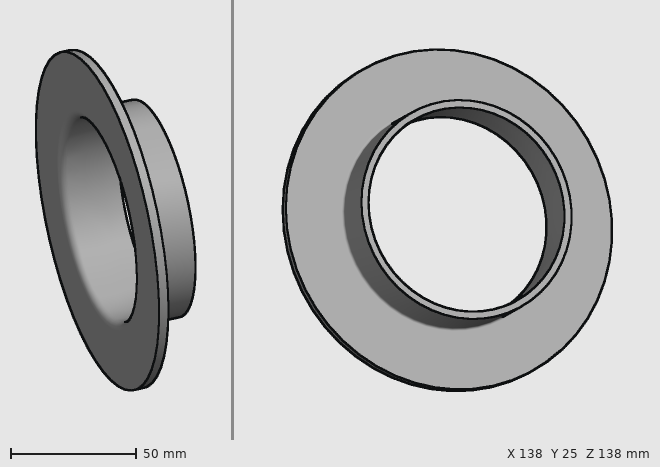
import cadquery as cq

flange_diameter = 138.0
flange_thickness = 4.0
total_depth = 25.0
collar_diameter = 88.9
mouth_diameter = 89.4
mouth_radius = 3.0
bore_rear_diameter = 82.8
root_radius = 1.0

flange_r = flange_diameter / 2
collar_r = collar_diameter / 2
mouth_r = mouth_diameter / 2
bore_front_r = mouth_r - mouth_radius
bore_rear_r = bore_rear_diameter / 2

section = (
    cq.Workplane("XY")
    .moveTo(mouth_r, 0)
    .lineTo(flange_r, 0)
    .lineTo(flange_r, flange_thickness)
    .lineTo(collar_r + root_radius, flange_thickness)
    .radiusArc((collar_r, flange_thickness + root_radius), root_radius)
    .lineTo(collar_r, total_depth)
    .lineTo(bore_rear_r, total_depth)
    .lineTo(bore_front_r, mouth_radius)
    .radiusArc((mouth_r, 0), -mouth_radius)
    .close()
)

result = section.revolve(360, (0, 0, 0), (0, 1, 0))